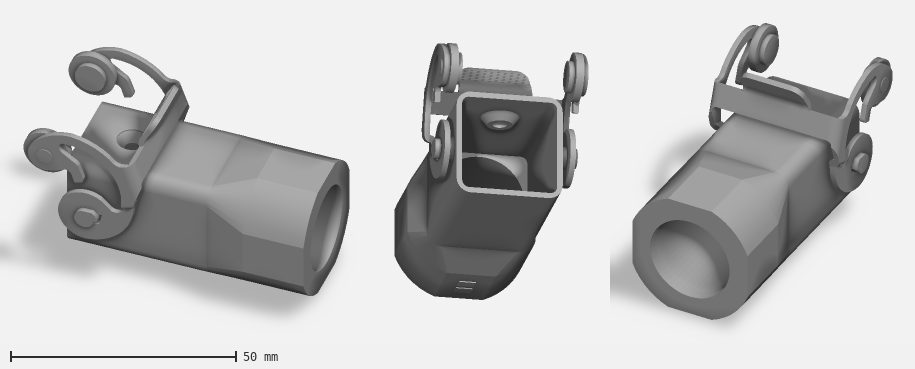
import cadquery as cq
import math


hood_length = 57.0
body_width = 24.0
body_corner_radius = 3.25
taper_start = 33.2
taper_end = 42.6
collar_width = 29.0
collar_corner_radius = 15.5
wall = 1.25
pocket_corner_radius = 1.6
bore_diameter = 20.0

screw_x = 11.0
screw_hole_diameter = 3.2
countersink_diameter = 7.1
countersink_lip = 0.3
seat_top_diameter = 8.8
seat_bottom_diameter = 5.8
seat_bottom_z = 8.95

pad_centers_x = (47.95, 51.8)
pad_length = 2.6
pad_width = 3.8
pad_height = 0.25

pivot_x = 5.5
pivot_boss_diameter = 5.0
pivot_base_diameter = 6.0
pivot_base_height = 0.5
pivot_pin_radius = 2.25
pivot_key_top_x = 7.4
pivot_key_bulge = (8.25, 1.4)
pivot_key_tip_x = 8.55
pivot_pin_end_y = 16.08

sheet = 1.25
eye_radius = 6.53
eye_tangent_angle = 57.0
eye_outer_y = 14.83
arm_outer_y = 16.3
lever_tilt = 20.0
bridge_outer_u = 22.2
bridge_top_v = 11.5
bridge_bottom_v = 6.2
bridge_shoulder_v = 5.3
bridge_bend_radius = 2.5
bridge_notch_radius = 1.3
eye_zone_x = 12.55
eye_zone_z = 8.0
joggle_v = -0.1

tab_tilt = 30.0
tab_bend_radius = 1.8
tab_length = 5.44
tab_root_half_width = 8.4
tab_root_overlap = 0.5
tab_tip_half_width = 7.65
tab_corner_radius = 2.9
groove_count = 7
groove_pitch = 0.55
groove_depth = 0.16
groove_tip_margin = 0.85

roller_x = -3.63
roller_z = 15.8
roller_radius = 5.5
roller_inner_y = 13.3
hub_radius = 3.55
hub_inner_y = 12.06
rivet_radius = 1.8
rivet_outer_y = 16.5
arm_tip_radius = 4.02
arm_tip_tangent_angle = 153.5

body_half = body_width / 2
collar_half = collar_width / 2
pocket_half = body_half - wall
eye_inner_y = eye_outer_y - sheet
arm_inner_y = arm_outer_y - sheet
joggle_step = arm_outer_y - eye_outer_y
tilt = math.radians(lever_tilt)
across_bridge = cq.Vector(math.cos(tilt), 0, math.sin(tilt))
along_bridge = cq.Vector(-math.sin(tilt), 0, math.cos(tilt))
bridge_plan = cq.Plane((0, 0, 0), (across_bridge.x, 0, across_bridge.z), along_bridge.toTuple())
bridge_face = cq.Plane((0, 0, 0), (0, 1, 0), across_bridge.toTuple())
reach = 60.0


def bridge_point(u, v):
    """(X, Z) of a point given across (u) and along (v) the bridge."""
    point = across_bridge * u + along_bridge * v
    return (point.x, point.z)


def polar(center, radius, degrees):
    """Point at an angle on a circle."""
    angle = math.radians(degrees)
    return (center[0] + radius * math.cos(angle), center[1] + radius * math.sin(angle))


def disc(x, z, radius, y_start, y_end):
    """Cylinder along Y."""
    sketch = cq.Workplane("XZ", origin=(0, y_start, 0)).center(x, z).circle(radius)
    return sketch.extrude(y_start - y_end)


def round_cornered_wire(x, half, flat, corner_mid):
    """Square outline at X with four arc corners; corner_mid is the arc's middle coordinate."""
    section = cq.Workplane("YZ", origin=(x, 0, 0)).moveTo(half, -flat)
    section = section.lineTo(half, flat).threePointArc((corner_mid, corner_mid), (flat, half))
    section = section.lineTo(-flat, half).threePointArc((-corner_mid, corner_mid), (-half, flat))
    section = section.lineTo(-half, -flat).threePointArc((-corner_mid, -corner_mid), (-flat, -half))
    section = section.lineTo(flat, -half).threePointArc((corner_mid, -corner_mid), (half, -flat))
    return section.close()


def body_section(x):
    flat = body_half - body_corner_radius
    return round_cornered_wire(x, body_half, flat, flat + body_corner_radius * math.sqrt(0.5))


def collar_section(x):
    flat = math.sqrt(collar_corner_radius**2 - collar_half**2)
    return round_cornered_wire(x, collar_half, flat, collar_corner_radius * math.sqrt(0.5))


def make_hood():
    body = body_section(0).extrude(taper_start)
    wires = [body_section(taper_start).val(), collar_section(taper_end).val()]
    taper = cq.Workplane(cq.Solid.makeLoft(wires, True))
    collar = collar_section(taper_end).extrude(hood_length - taper_end)
    pocket = cq.Workplane("YZ").rect(2 * pocket_half, 2 * pocket_half).extrude(taper_start)
    pocket = pocket.edges("|X").fillet(pocket_corner_radius)
    bore = cq.Workplane("YZ").circle(bore_diameter / 2).extrude(hood_length)
    return body.union(taper).union(collar).cut(pocket).cut(bore)


def add_screw_seat(hood):
    """Conical seat hanging from the top wall, with a countersunk hole."""
    hole_radius = screw_hole_diameter / 2
    sink_radius = countersink_diameter / 2
    lip_z = body_half - countersink_lip
    sink_bottom_z = lip_z - (sink_radius - hole_radius)
    axis = cq.Workplane("XZ", origin=(screw_x, 0, 0))
    seat_points = [
        (0, seat_bottom_z),
        (seat_bottom_diameter / 2, seat_bottom_z),
        (seat_top_diameter / 2, pocket_half),
        (seat_top_diameter / 2, body_half),
        (0, body_half),
    ]
    hole_points = [
        (0, seat_bottom_z),
        (hole_radius, seat_bottom_z),
        (hole_radius, sink_bottom_z),
        (sink_radius, lip_z),
        (sink_radius, body_half),
        (0, body_half),
    ]
    seat = axis.polyline(seat_points).close().revolve(360, (0, 0, 0), (0, 1, 0))
    hole = axis.polyline(hole_points).close().revolve(360, (0, 0, 0), (0, 1, 0))
    return hood.union(seat).cut(hole)


def add_pads(hood):
    for x in pad_centers_x:
        pad = cq.Workplane("XY", origin=(x, 0, -collar_half - pad_height))
        hood = hood.union(pad.rect(pad_length, pad_width).extrude(pad_height + wall))
    return hood


def lever_outline():
    """Side shape of the whole lever: curled arm, bridge edge and pivot eye."""
    eye_side = (pivot_x - eye_radius, 0)
    eye_bottom = (pivot_x, -eye_radius)
    arm_tip_bottom = (roller_x, roller_z - arm_tip_radius)
    arm_tip_side = (roller_x - arm_tip_radius, roller_z)
    arm_tip_top = polar((roller_x, roller_z), arm_tip_radius, arm_tip_tangent_angle)
    crest = (2.5, 23.1)
    throat_corner = (14.43, 4.83)
    eye_top = polar((pivot_x, 0), eye_radius, eye_tangent_angle)

    shape = cq.Workplane("XZ", origin=(0, reach / 2, 0)).moveTo(*crest)
    shape = shape.threePointArc((-4.22, 20.88), arm_tip_top)
    shape = shape.threePointArc(arm_tip_side, arm_tip_bottom)
    shape = shape.threePointArc((-1.4, 12.25), (0.6, 13.05))
    shape = shape.threePointArc((1.75, 13.25), (2.77, 12.2))
    shape = shape.lineTo(3.41, 10.18).lineTo(4.6, 10.55)
    shape = shape.threePointArc((5.4, 11.1), (5.4, 12.0))
    shape = shape.lineTo(4.3, 15.0).threePointArc((3.85, 15.55), (3.16, 16.03))
    shape = shape.lineTo(0.35, 18.0).threePointArc((-0.28, 19.25), (0.6, 20.6))
    shape = shape.lineTo(1.63, 20.6).threePointArc((9.64, 17.9), (14.43, 9.4))
    shape = shape.lineTo(*throat_corner)
    shape = shape.threePointArc((12.55, 3.0), (11.42, 3.3)).lineTo(*eye_top)
    shape = shape.threePointArc(eye_side, eye_bottom)
    shape = shape.threePointArc((12.7, -3.56), (16.82, 5.34))
    shape = shape.lineTo(17.79, 8.85).lineTo(*bridge_point(bridge_outer_u, bridge_shoulder_v))
    shape = shape.lineTo(*bridge_point(bridge_outer_u, bridge_top_v))
    shape = shape.lineTo(*bridge_point(bridge_outer_u - sheet, bridge_top_v)).lineTo(14.0, 17.73)
    shape = shape.threePointArc((13.2, 17.95), (12.44, 18.45)).lineTo(11.55, 19.34)
    shape = shape.threePointArc((6.72, 22.14), crest)
    return shape.close().extrude(reach)


def side_sheet(side):
    """Endless side sheet, joggled from the eye plane out to the arm plane."""
    arc_offset = joggle_step * math.sqrt(0.5)
    outer_v = joggle_v + sheet - joggle_step
    strip = cq.Workplane(bridge_face).moveTo(side * eye_inner_y, -reach)
    strip = strip.lineTo(side * eye_inner_y, joggle_v)
    strip = strip.threePointArc(
        (side * (arm_inner_y - arc_offset), joggle_v + arc_offset),
        (side * arm_inner_y, joggle_v + joggle_step),
    )
    strip = strip.lineTo(side * arm_inner_y, reach).lineTo(side * arm_outer_y, reach)
    strip = strip.lineTo(side * arm_outer_y, outer_v + joggle_step)
    strip = strip.threePointArc(
        (side * (eye_outer_y + arc_offset), outer_v + joggle_step - arc_offset),
        (side * eye_outer_y, outer_v),
    )
    strip = strip.lineTo(side * eye_outer_y, -reach).close()
    return strip.extrude(reach, both=True)


def lever_envelope():
    """Space inside the outer faces of the arms and bridge, with both bends rounded."""
    block = cq.Workplane(bridge_plan).center(bridge_outer_u - reach / 2, 0)
    block = block.rect(reach, 2 * arm_outer_y).extrude(reach, both=True)
    bends = block.edges(cq.selectors.ParallelDirSelector(along_bridge))
    bends = bends.edges(cq.selectors.DirectionMinMaxSelector(across_bridge))
    return bends.fillet(bridge_bend_radius)


def bridge_sheet():
    """Cross wall joining the arms, cut away below its lower edge between them."""
    height = reach - joggle_v - joggle_step
    wall_sheet = cq.Workplane(bridge_face).workplane(offset=bridge_outer_u - sheet)
    wall_sheet = wall_sheet.center(0, joggle_v + joggle_step + height / 2)
    wall_sheet = wall_sheet.rect(2 * arm_outer_y, height).extrude(sheet)
    notch_height = bridge_bottom_v + reach
    notch = cq.Workplane(bridge_face).center(0, bridge_bottom_v - notch_height / 2)
    notch = notch.rect(2 * arm_inner_y, notch_height).extrude(reach)
    notch = notch.edges(cq.selectors.ParallelDirSelector(across_bridge)).fillet(bridge_notch_radius)
    return wall_sheet.cut(notch)


def make_lever_sheet():
    eye_zone = cq.Workplane("XY").box(2 * eye_zone_x, 2 * reach, 2 * eye_zone_z)
    eye_plates = cq.Workplane("XY").box(reach, 2 * eye_outer_y, reach)
    eye_plates = eye_plates.cut(cq.Workplane("XY").box(reach, 2 * eye_inner_y, reach))
    bent_sheet = bridge_sheet()
    for side in (-1, 1):
        bent_sheet = bent_sheet.union(side_sheet(side))
    bent_sheet = bent_sheet.intersect(lever_envelope()).cut(eye_zone)
    bent_sheet = bent_sheet.union(eye_plates.intersect(eye_zone))
    return bent_sheet.intersect(lever_outline())


def make_thumb_tab():
    """Tab bent back from the top of the bridge, with grooves across its front."""
    center = bridge_point(bridge_outer_u + tab_bend_radius, bridge_top_v)
    front_radius = tab_bend_radius + sheet
    start_angle = 180 + lever_tilt
    end_angle = 180 - tab_tilt
    middle_angle = (start_angle + end_angle) / 2
    lean = math.radians(tab_tilt)
    along_tab = (math.sin(lean), math.cos(lean))

    def on_tab(radius, distance):
        root = polar(center, radius, end_angle)
        return (root[0] + distance * along_tab[0], root[1] + distance * along_tab[1])

    root_v = bridge_top_v - tab_root_overlap
    bend = cq.Workplane("XZ", origin=(0, reach / 2, 0))
    bend = bend.moveTo(*bridge_point(bridge_outer_u - sheet, root_v))
    bend = bend.lineTo(*polar(center, front_radius, start_angle))
    bend = bend.threePointArc(polar(center, front_radius, middle_angle), on_tab(front_radius, 0))
    bend = bend.lineTo(*on_tab(front_radius, tab_length)).lineTo(*on_tab(tab_bend_radius, tab_length))
    bend = bend.lineTo(*on_tab(tab_bend_radius, 0))
    bend = bend.threePointArc(
        polar(center, tab_bend_radius, middle_angle),
        polar(center, tab_bend_radius, start_angle),
    )
    bend = bend.lineTo(*bridge_point(bridge_outer_u, root_v))
    tab = bend.close().extrude(reach)

    tab_normal = (along_tab[1], 0, -along_tab[0])
    face = cq.Plane((center[0], 0, center[1]), (0, 1, 0), tab_normal)
    root_s = -front_radius
    outline = cq.Workplane(face).polyline([
        (-tab_root_half_width, root_s),
        (tab_root_half_width, root_s),
        (tab_tip_half_width, tab_length),
        (-tab_tip_half_width, tab_length),
    ]).close().extrude(reach, both=True)
    tip_edges = cq.selectors.ParallelDirSelector(cq.Vector(*tab_normal))
    tip_direction = cq.Vector(along_tab[0], 0, along_tab[1])
    outline = outline.edges(tip_edges).edges(cq.selectors.DirectionMinMaxSelector(tip_direction))
    tab = tab.intersect(outline.fillet(tab_corner_radius))

    for index in range(groove_count):
        bottom = tab_length - groove_tip_margin - index * groove_pitch
        groove = cq.Workplane("XZ", origin=(0, reach / 2, 0)).polyline([
            on_tab(front_radius, bottom + groove_pitch / 2),
            on_tab(front_radius - groove_depth, bottom),
            on_tab(front_radius, bottom - groove_pitch / 2),
        ]).close().extrude(reach)
        tab = tab.cut(groove)
    return tab


def key_slot():
    """Clearance in the eye beside the keyed pin."""
    corners = [(7.0, 1.6), (8.1, 1.5), (9.4, 1.25), (8.72, -1.35), (6.8, -2.1)]
    return cq.Workplane("XZ", origin=(0, reach / 2, 0)).polyline(corners).close().extrude(reach)


def make_pivot():
    base_radius = pivot_base_diameter / 2
    boss_radius = pivot_boss_diameter / 2
    shank = cq.Workplane("XY", origin=(pivot_x, 0, 0)).polyline([
        (0, pocket_half),
        (base_radius, pocket_half),
        (base_radius, body_half),
        (boss_radius, body_half + pivot_base_height),
        (boss_radius, eye_inner_y),
        (0, eye_inner_y),
    ]).close().revolve(360, (0, 0, 0), (0, 1, 0))
    pin = cq.Workplane("XZ", origin=(0, pivot_pin_end_y, 0))
    pin = pin.moveTo(pivot_x + pivot_pin_radius, 0)
    pin = pin.threePointArc((pivot_x, -pivot_pin_radius), (pivot_x - pivot_pin_radius, 0))
    pin = pin.threePointArc(polar((pivot_x, 0), pivot_pin_radius, 135), (pivot_x, pivot_pin_radius))
    pin = pin.lineTo(pivot_key_top_x, pivot_pin_radius)
    pin = pin.threePointArc(pivot_key_bulge, (pivot_key_tip_x, 0))
    pin = pin.close().extrude(pivot_pin_end_y - eye_inner_y)
    return shank.union(pin)


def make_roller():
    roller = disc(roller_x, roller_z, roller_radius, roller_inner_y, arm_inner_y)
    hub = disc(roller_x, roller_z, hub_radius, hub_inner_y, roller_inner_y)
    rivet = disc(roller_x, roller_z, rivet_radius, roller_inner_y, rivet_outer_y)
    return roller.union(hub).union(rivet)


hood = add_pads(add_screw_seat(make_hood()))
lever = make_lever_sheet().cut(key_slot()).union(make_thumb_tab())
result = hood.union(lever)
for fitting in (make_pivot(), make_roller()):
    result = result.union(fitting).union(fitting.mirror("XZ"))